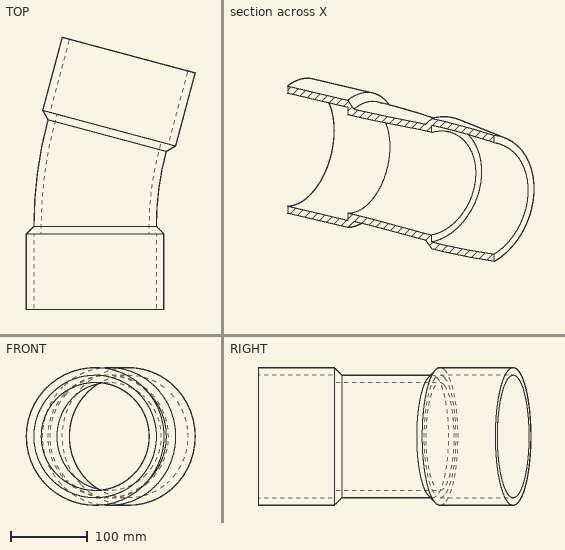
import cadquery as cq
import math

bend_angle = 15.0
bend_radius = 457.2
socket_diameter = 180.0
pipe_diameter = 160.0
bore_diameter = 140.8
socket_length = 99.0
socket_depth = 99.0
socket_bore_diameter = pipe_diameter
taper_length = (socket_diameter - pipe_diameter) / 2
straight_length = socket_length + taper_length

bend = math.radians(bend_angle)
bend_end = (bend_radius * (1 - math.cos(bend)), bend_radius * math.sin(bend), 0)
outlet_direction = (math.sin(bend), math.cos(bend), 0)


def bent_rod(diameter):
    """Solid round bar following the centre line of the bend."""
    return (
        cq.Workplane("XZ")
        .circle(diameter / 2)
        .revolve(bend_angle, (bend_radius, 0, 0), (bend_radius, -1, 0))
    )


def end_profile(points, base, direction):
    """Revolve (radius, distance from bend) points about one end's axis."""
    x_direction = (direction[1], -direction[0], 0)
    plane = cq.Plane(origin=base, xDir=x_direction, normal=(0, 0, 1))
    return cq.Workplane(plane).polyline(points).close().revolve(360, (0, 0, 0), (0, 1, 0))


socket_outline = [
    (0, 0),
    (pipe_diameter / 2, 0),
    (socket_diameter / 2, taper_length),
    (socket_diameter / 2, straight_length),
    (0, straight_length),
]

stop_position = straight_length - socket_depth
cavity_outline = [
    (0, 0),
    (bore_diameter / 2, 0),
    (bore_diameter / 2, stop_position),
    (socket_bore_diameter / 2, stop_position),
    (socket_bore_diameter / 2, straight_length),
    (0, straight_length),
]

body = bent_rod(pipe_diameter)
cavity = bent_rod(bore_diameter)
for base, direction in [((0, 0, 0), (0, -1, 0)), (bend_end, outlet_direction)]:
    body = body.union(end_profile(socket_outline, base, direction))
    cavity = cavity.union(end_profile(cavity_outline, base, direction))

result = body.cut(cavity)